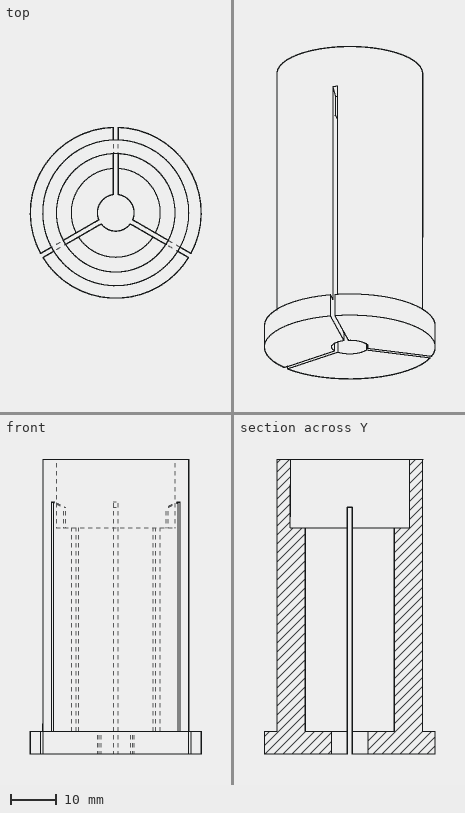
import math

import cadquery as cq

total_height = 64.6
tube_diameter = 32.0
flange_diameter = 37.5
flange_thickness = 5.0

upper_bore_diameter = 26.0
upper_bore_depth = 15.0
lower_bore_diameter = 19.5
floor_thickness = flange_thickness
through_hole_diameter = 8.0

slot_count = 3
slot_width = 1.0
slot_outer_top = 55.3
slot_top_slope = 22.5
first_slot_angle = 90.0
slot_spacing = 360.0 / slot_count
slot_reach = flange_diameter


def cylinder(diameter, bottom, top):
    """Solid cylinder about the Z axis between two heights."""
    return cq.Workplane("XY").workplane(offset=bottom).circle(diameter / 2).extrude(top - bottom)


def make_body():
    """Tube blank standing on its flange."""
    flange = cylinder(flange_diameter, 0, flange_thickness)
    tube = cylinder(tube_diameter, 0, total_height)
    return flange.union(tube)


def make_bore():
    """Stepped bore, open at both ends."""
    upper_bore = cylinder(upper_bore_diameter, total_height - upper_bore_depth, total_height)
    lower_bore = cylinder(lower_bore_diameter, floor_thickness, total_height)
    through_hole = cylinder(through_hole_diameter, 0, total_height)
    return upper_bore.union(lower_bore).union(through_hole)


def slot_top_at(radius):
    """Height of the sloping slot top at a distance from the axis."""
    rise_per_mm = math.tan(math.radians(slot_top_slope))
    return slot_outer_top + (radius - tube_diameter / 2) * rise_per_mm


def make_slot(angle):
    """Radial slot from the axis outward, open at the bottom and sloping at the top."""
    outline = [(0, 0), (slot_reach, 0), (slot_reach, slot_top_at(slot_reach)), (0, slot_top_at(0))]
    slot = cq.Workplane("XZ").polyline(outline).close().extrude(slot_width / 2, both=True)
    return slot.rotate((0, 0, 0), (0, 0, 1), angle)


result = make_body().cut(make_bore())
for index in range(slot_count):
    result = result.cut(make_slot(first_slot_angle + index * slot_spacing))